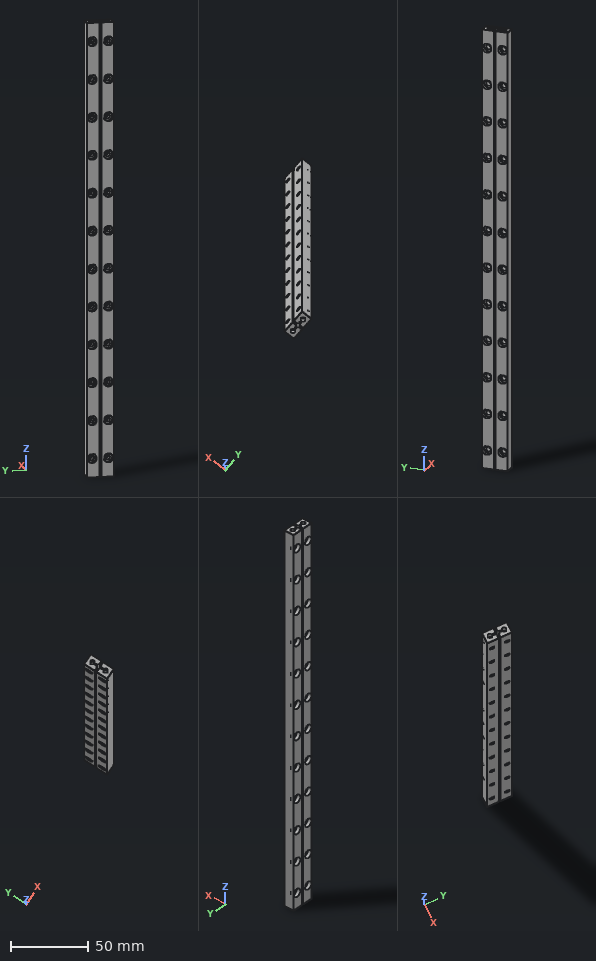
import cadquery as cq
import math


LENGTH = 300.0
THICKNESS = 8.0
PAIR_WIDTH = 18.0
RAIL_GAP = 1.05
EDGE_CHAMFER = 0.2

GROOVE_WIDTH = 4.2
RELIEF_WIDTH = 1.0
RELIEF_DEPTH = 0.5

HOLE_COUNT = 12
HOLE_PITCH = LENGTH / HOLE_COUNT
HOLE_EDGE_DISTANCE = 3.5
HOLE_DIAMETER = 3.3
COUNTERBORE_DIAMETER = 6.0
COUNTERBORE_DEPTH = 3.0

END_HOLE_EDGE_DISTANCE = 4.0
END_HOLE_DIAMETER = 3.0
END_HOLE_DEPTH = 6.0
DRILL_POINT_ANGLE = 90.0

INNER_SIDE = RAIL_GAP / 2
OUTER_SIDE = PAIR_WIDTH / 2
GROOVE_ROOT = GROOVE_WIDTH / 2
RELIEF_FLOOR = GROOVE_ROOT + RELIEF_DEPTH
GROOVE_HALF_MOUTH = GROOVE_ROOT - INNER_SIDE
RELIEF_HALF = RELIEF_WIDTH / 2
HOLE_Y = OUTER_SIDE - HOLE_EDGE_DISTANCE
END_HOLE_Y = OUTER_SIDE - END_HOLE_EDGE_DISTANCE


def rail_bar():
    """Plain bar on the +Y side of the gap, bevelled along all its edges."""
    width = OUTER_SIDE - INNER_SIDE
    bar = cq.Workplane("XY").box(THICKNESS, width, LENGTH, centered=(True, False, True))
    return bar.translate((0, INNER_SIDE, 0)).edges().chamfer(EDGE_CHAMFER)


def roller_groove():
    """V groove and its relief slot, running the whole length."""
    return (
        cq.Workplane("XY", origin=(0, 0, -LENGTH / 2))
        .moveTo(-GROOVE_HALF_MOUTH, INNER_SIDE)
        .lineTo(-RELIEF_HALF, GROOVE_ROOT - RELIEF_HALF)
        .lineTo(-RELIEF_HALF, RELIEF_FLOOR)
        .lineTo(RELIEF_HALF, RELIEF_FLOOR)
        .lineTo(RELIEF_HALF, GROOVE_ROOT - RELIEF_HALF)
        .lineTo(GROOVE_HALF_MOUTH, INNER_SIDE)
        .close()
        .extrude(LENGTH)
    )


def mounting_hole(z):
    """Through hole along X with its counterbore on the -X side."""
    entry = cq.Workplane("YZ", origin=(-THICKNESS / 2, HOLE_Y, z))
    bore = entry.circle(HOLE_DIAMETER / 2).extrude(THICKNESS)
    counterbore = entry.circle(COUNTERBORE_DIAMETER / 2).extrude(COUNTERBORE_DEPTH)
    return bore.union(counterbore)


def end_hole():
    """Blind hole with a conical bottom, drilled down from the top end."""
    radius = END_HOLE_DIAMETER / 2
    point_length = radius / math.tan(math.radians(DRILL_POINT_ANGLE / 2))
    top = LENGTH / 2
    return (
        cq.Workplane("XZ", origin=(0, END_HOLE_Y, 0))
        .moveTo(0, top)
        .lineTo(radius, top)
        .lineTo(radius, top - END_HOLE_DEPTH)
        .lineTo(0, top - END_HOLE_DEPTH - point_length)
        .close()
        .revolve(360, (0, 0, 0), (0, 1, 0))
    )


def rail():
    """One finished rail on the +Y side."""
    body = rail_bar().cut(roller_groove())
    for index in range(HOLE_COUNT):
        body = body.cut(mounting_hole((index + 0.5) * HOLE_PITCH - LENGTH / 2))
    top_hole = end_hole()
    return body.cut(top_hole).cut(top_hole.mirror("XY"))


rails = []
for mirrored in (False, True):
    body = rail()
    if mirrored:
        body = body.mirror("XZ")
    rails.append(body.val())

result = cq.Compound.makeCompound(rails)